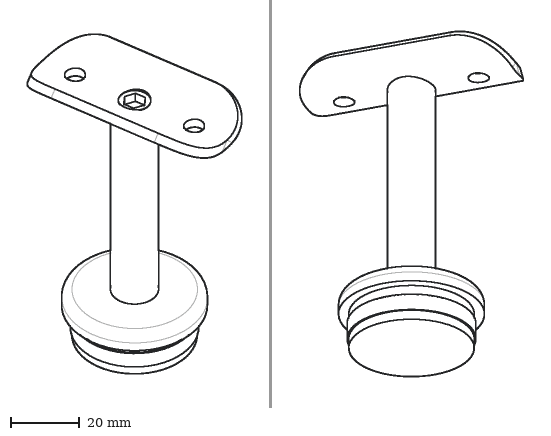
import cadquery as cq
import math

total_height = 92.7

plug_diameter = 36.4
band_diameter = 37.4
flange_diameter = 42.4
band_bottom = 3.0
band_top = 8.0
flange_bottom = 11.0
flange_top = 17.0
flange_round = 3.0

post_diameter = 14.0

saddle_length = 65.0
saddle_inner_radius = 21.2
saddle_thickness = 3.0
saddle_half_degrees = 43.0
saddle_half_angle = math.radians(saddle_half_degrees)
saddle_corner_radius = 14.4
saddle_outer_radius = saddle_inner_radius + saddle_thickness
saddle_axis_z = total_height + saddle_inner_radius * math.cos(saddle_half_angle)
saddle_floor_z = saddle_axis_z - saddle_inner_radius

hole_diameter = 6.0
hole_spacing = 41.9

screw_head_diameter = 9.5
screw_head_recess = 0.1
socket_across_flats = 6.0
socket_depth = 3.0
screw_head_z = saddle_floor_z - screw_head_recess


def cylinder(diameter, bottom, top):
    """Upright cylinder on the Z axis between two heights."""
    return cq.Workplane("XY").workplane(offset=bottom).circle(diameter / 2).extrude(top - bottom)


def saddle_point(radius, angle):
    """Point (Y, Z) on the saddle section, with the angle measured from straight down."""
    return (radius * math.sin(angle), saddle_axis_z - radius * math.cos(angle))


def make_base():
    flange = cylinder(flange_diameter, flange_bottom, flange_top).faces(">Z").edges().fillet(flange_round)
    plug = cylinder(plug_diameter, 0, flange_bottom)
    band = cylinder(band_diameter, band_bottom, band_top)
    return flange.union(plug).union(band)


def make_side_trimmer():
    """Block whose rounded side lies on the radial plane of the +Y edge of the saddle."""
    depth = 2 * saddle_outer_radius
    upright = (
        cq.Workplane("XY")
        .box(saddle_length, depth, depth, centered=(True, True, False))
        .translate((0, -depth / 2, saddle_axis_z - depth))
        .edges("|Z and >Y")
        .fillet(saddle_corner_radius)
    )
    return upright.rotate((0, 0, saddle_axis_z), (1, 0, saddle_axis_z), saddle_half_degrees)


def make_saddle():
    plate = (
        cq.Workplane("YZ")
        .moveTo(*saddle_point(saddle_inner_radius, -saddle_half_angle))
        .threePointArc(
            saddle_point(saddle_inner_radius, 0),
            saddle_point(saddle_inner_radius, saddle_half_angle),
        )
        .lineTo(*saddle_point(saddle_outer_radius, saddle_half_angle))
        .threePointArc(
            saddle_point(saddle_outer_radius, 0),
            saddle_point(saddle_outer_radius, -saddle_half_angle),
        )
        .close()
        .extrude(saddle_length / 2, both=True)
    )
    rounded_side = make_side_trimmer()
    return plate.intersect(rounded_side).intersect(rounded_side.mirror("XZ"))


def make_saddle_holes():
    return (
        cq.Workplane("XY")
        .workplane(offset=flange_top)
        .pushPoints([(-hole_spacing / 2, 0), (hole_spacing / 2, 0)])
        .circle(hole_diameter / 2)
        .extrude(total_height - flange_top)
    )


def make_screw_recess():
    head_space = cylinder(screw_head_diameter, screw_head_z, total_height)
    socket_corner_diameter = socket_across_flats / math.cos(math.pi / 6)
    socket = (
        cq.Workplane("XY")
        .workplane(offset=screw_head_z - socket_depth)
        .polygon(6, socket_corner_diameter)
        .extrude(total_height - screw_head_z + socket_depth)
    )
    return head_space.union(socket)


post = cylinder(post_diameter, flange_bottom, saddle_floor_z - screw_head_recess)

result = (
    make_base()
    .union(post)
    .union(make_saddle())
    .cut(make_saddle_holes())
    .cut(make_screw_recess())
)